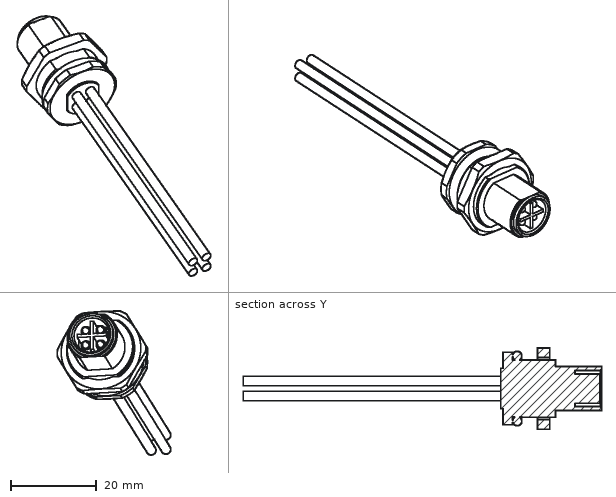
import cadquery as cq

nose_length = 0.9
shoulder_x = 10.8
nut_front_x = 12.1
nut_back_x = 15.05
thread_end_x = 18.65
flange_front_x = 20.8
flange_back_x = 23.1
boss_back_x = 23.6
wire_end_x = 83.6

nose_diameter = 10.3
sleeve_diameter = 11.9
sleeve_chamfer = 0.25
thread_diameter = 16.0
thread_chamfer = 0.25
thread_runout_length = 0.6
thread_core_diameter = 14.4
neck_diameter = 13.3
sleeve_flat_width = nose_diameter
thread_flat_width = 13.4

nut_across_flats = 19.0
nut_corner_diameter = 21.0
nut_face_diameter = 18.9
nut_chamfer_length = 0.4
flange_across_flats = 17.0
flange_corner_diameter = 18.0
flange_face_diameter = 16.9
flange_chamfer_length = 0.25
boss_diameter = 9.5
boss_width = 8.0

ring_section_diameter = 2.2
ring_center_diameter = 15.2
ring_center_x = flange_front_x - ring_section_diameter / 2

bore_diameter = 8.4
bore_depth = 6.3
bore_mouth_chamfer = 0.4
cross_front_x = 0.5
cross_thickness = 0.75
cross_span = 6.85
pin_spacing = 3.5
pin_diameter = 1.5
pin_tip_x = 1.2
collar_diameter = 2.2
collar_front_x = 2.5

wire_diameter = 2.25


def cylinder(diameter, start_x, end_x):
    return cq.Workplane("YZ", origin=(start_x, 0, 0)).circle(diameter / 2).extrude(end_x - start_x)


def block(start_x, end_x, size_y, size_z):
    return cq.Workplane("YZ", origin=(start_x, 0, 0)).rect(size_y, size_z).extrude(end_x - start_x)


def revolve_profile(points):
    """Turn a profile of (x, radius) points about the X axis."""
    return cq.Workplane("XY").polyline(points).close().revolve(360, (0, 0, 0), (1, 0, 0))


def four_cylinders(diameter, start_x, end_x):
    """Cylinders on the square contact pattern."""
    return (
        cq.Workplane("YZ", origin=(start_x, 0, 0))
        .rarray(pin_spacing, pin_spacing, 2, 2)
        .circle(diameter / 2)
        .extrude(end_x - start_x)
    )


def hexagon(across_flats, start_x, end_x):
    """Hexagonal prism with one pair of flats facing +Z and -Z."""
    return (
        cq.Workplane("YZ", origin=(start_x, 0, 0))
        .polygon(6, across_flats, circumscribed=True)
        .extrude(end_x - start_x)
        .rotate((0, 0, 0), (1, 0, 0), 30)
    )


def make_sleeve():
    sleeve = cylinder(sleeve_diameter, nose_length, shoulder_x).faces("<X").chamfer(sleeve_chamfer)
    sleeve = sleeve.intersect(block(nose_length, shoulder_x, sleeve_diameter, sleeve_flat_width))
    return sleeve.union(cylinder(nose_diameter, 0, nose_length))


def make_threaded_section():
    radius = thread_diameter / 2
    turned = revolve_profile([
        (shoulder_x, 0),
        (shoulder_x, radius - thread_chamfer),
        (shoulder_x + thread_chamfer, radius),
        (thread_end_x - thread_runout_length, radius),
        (thread_end_x, thread_core_diameter / 2),
        (thread_end_x, 0),
    ])
    thread = turned.intersect(block(shoulder_x, thread_end_x, thread_diameter, thread_flat_width))
    return thread.union(cylinder(neck_diameter, thread_end_x, flange_front_x))


def make_nut():
    """Hexagon nut; its round hole leaves a gap above each thread flat."""
    corner_radius = nut_corner_diameter / 2
    turned = revolve_profile([
        (nut_front_x, 0),
        (nut_front_x, nut_face_diameter / 2),
        (nut_front_x + nut_chamfer_length, corner_radius),
        (nut_back_x, corner_radius),
        (nut_back_x, 0),
    ])
    nut = hexagon(nut_across_flats, nut_front_x, nut_back_x).intersect(turned)
    return nut.cut(cylinder(thread_core_diameter, nut_front_x, nut_back_x))


def make_flange():
    corner_radius = flange_corner_diameter / 2
    turned = revolve_profile([
        (flange_front_x, 0),
        (flange_front_x, corner_radius),
        (flange_back_x - flange_chamfer_length, corner_radius),
        (flange_back_x, flange_face_diameter / 2),
        (flange_back_x, 0),
    ])
    flange = hexagon(flange_across_flats, flange_front_x, flange_back_x).intersect(turned)
    boss = cylinder(boss_diameter, flange_back_x, boss_back_x)
    boss = boss.intersect(block(flange_back_x, boss_back_x, boss_width, boss_diameter))
    return flange.union(boss)


def make_sealing_ring():
    return (
        cq.Workplane("XY")
        .center(ring_center_x, ring_center_diameter / 2)
        .circle(ring_section_diameter / 2)
        .revolve(360, (0, -ring_center_diameter / 2, 0), (1, -ring_center_diameter / 2, 0))
    )


def make_bore():
    bore = cylinder(bore_diameter, 0, bore_depth)
    mouth_radius = bore_diameter / 2 + bore_mouth_chamfer
    mouth = revolve_profile([
        (0, 0),
        (0, mouth_radius),
        (bore_mouth_chamfer, bore_diameter / 2),
        (bore_mouth_chamfer, 0),
    ])
    return bore.union(mouth)


def make_contacts():
    """Shielding cross and four round-nosed pins standing on the bore floor."""
    cross = block(cross_front_x, bore_depth, cross_span, cross_thickness)
    cross = cross.union(block(cross_front_x, bore_depth, cross_thickness, cross_span))
    dome_center_x = pin_tip_x + pin_diameter / 2
    domes = (
        cq.Workplane("YZ", origin=(dome_center_x, 0, 0))
        .rarray(pin_spacing, pin_spacing, 2, 2)
        .sphere(pin_diameter / 2)
    )
    pins = four_cylinders(pin_diameter, dome_center_x, bore_depth).union(domes)
    collars = four_cylinders(collar_diameter, collar_front_x, bore_depth)
    return cross.union(pins).union(collars)


housing = make_sleeve().union(make_threaded_section()).union(make_nut()).union(make_flange())
housing = housing.union(make_sealing_ring()).cut(make_bore())
wires = four_cylinders(wire_diameter, flange_back_x, wire_end_x)
result = housing.union(make_contacts()).union(wires)